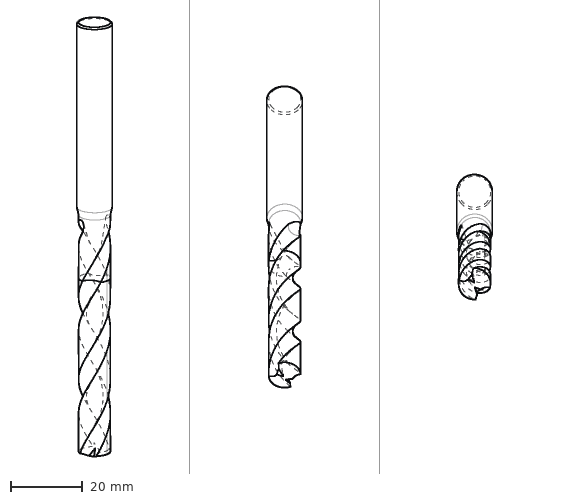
import cadquery as cq
import math

total_length = 128.0
shank_diameter = 10.0
drill_diameter = 9.0
shank_radius = shank_diameter / 2
drill_radius = drill_diameter / 2

shank_chamfer = 0.5
cone_top_z = 73.6
cone_bottom_z = 71.3

joint_z = 52.7
point_angle = 140.0
point_height = drill_radius / math.tan(math.radians(point_angle / 2))

flute_count = 2
flute_step = 360.0 / flute_count
helix_lead = 48.9
flute_radius = 3.2
flute_offset = 5.5
flute_start_angle = -90.0
helix_top_z = 65.2
runout_lean = 45.0
runout_height = 7.0

gash_valley_start = (0.4, -0.4)
gash_valley_travel = (1.8, -1.8, 4.1)
gash_lip_reach = (3.3, -5.1)
gash_heel_reach = (-2.3, -4.9)


def flute_angle_at(z):
    """Direction in degrees of the first flute at height z."""
    return flute_start_angle + 360.0 * z / helix_lead


def helical_flute(bottom_z, top_z):
    """Cutter for the first flute: a circle twisted about the drill axis."""
    height = top_z - bottom_z
    cutter = (
        cq.Workplane("XY")
        .moveTo(flute_offset, 0)
        .circle(flute_radius)
        .twistExtrude(height, 360.0 * height / helix_lead)
    )
    return cutter.rotate((0, 0, 0), (0, 0, 1), flute_angle_at(bottom_z)).translate((0, 0, bottom_z))


def flute_runout():
    """Cutter that continues the first flute straight along its tangent."""
    angle = math.radians(flute_angle_at(helix_top_z))
    center = cq.Vector(flute_offset * math.cos(angle), flute_offset * math.sin(angle), helix_top_z)
    sideways = runout_height * math.tan(math.radians(runout_lean))
    travel = cq.Vector(-sideways * math.sin(angle), sideways * math.cos(angle), runout_height)
    section = cq.Wire.makeCircle(flute_radius, center, cq.Vector(0, 0, 1))
    return cq.Workplane(cq.Solid.extrudeLinear(section, [], travel))


def point_gash():
    """Skewed V-shaped cutter that rises from the point into the first flute."""
    start_x, start_y = gash_valley_start
    corners = [
        cq.Vector(start_x, start_y, 0),
        cq.Vector(start_x + gash_heel_reach[0], start_y + gash_heel_reach[1], 0),
        cq.Vector(start_x + gash_lip_reach[0], start_y + gash_lip_reach[1], 0),
    ]
    section = cq.Wire.makePolygon(corners, close=True)
    return cq.Workplane(cq.Solid.extrudeLinear(section, [], cq.Vector(*gash_valley_travel)))


def cut_around_axis(body, cutter):
    """Cut one copy of the cutter for each flute."""
    for index in range(flute_count):
        body = body.cut(cutter.rotate((0, 0, 0), (0, 0, 1), index * flute_step))
    return body


def make_shank():
    """Plain shank, short cone and the upper ends of the flutes."""
    profile = [
        (0, joint_z),
        (drill_radius, joint_z),
        (drill_radius, cone_bottom_z),
        (shank_radius, cone_top_z),
        (shank_radius, total_length - shank_chamfer),
        (shank_radius - shank_chamfer, total_length),
        (0, total_length),
    ]
    body = cq.Workplane("XZ").polyline(profile).close().revolve(360, (0, 0, 0), (0, 1, 0))
    body = cut_around_axis(body, helical_flute(joint_z, helix_top_z))
    return cut_around_axis(body, flute_runout())


def make_tip():
    """Fluted cutting body with a conical point."""
    profile = [
        (0, 0),
        (drill_radius, point_height),
        (drill_radius, joint_z),
        (0, joint_z),
    ]
    body = cq.Workplane("XZ").polyline(profile).close().revolve(360, (0, 0, 0), (0, 1, 0))
    body = cut_around_axis(body, helical_flute(0, joint_z))
    return cut_around_axis(body, point_gash())


shank = make_shank()
tip = make_tip()
result = cq.Compound.makeCompound([*shank.solids().vals(), *tip.solids().vals()])